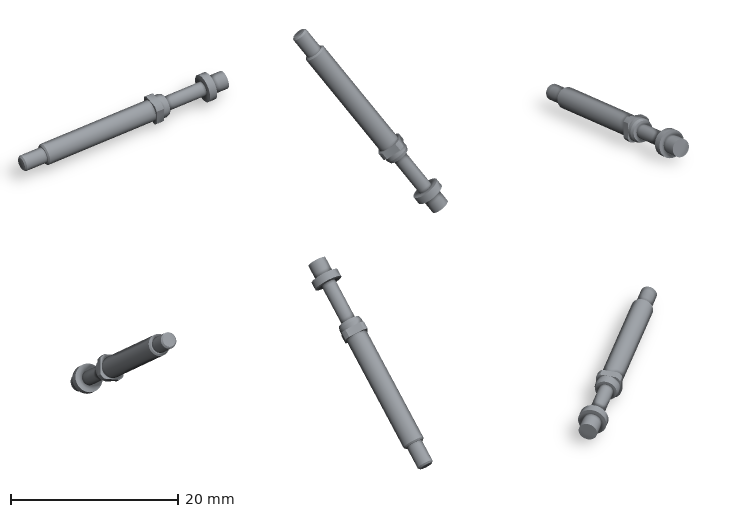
import cadquery as cq

total_length = 28.3
tip_length = 3.0
barrel_length = 15.0
wrench_length = 1.0
ring_length = 0.57
cone_length = 0.42
flange_length = 1.0
head_length = 2.0

barrel_start = tip_length
wrench_start = barrel_start + barrel_length
ring_start = wrench_start + wrench_length
cone_start = ring_start + ring_length
cone_end = cone_start + cone_length
head_start = total_length - head_length
flange_start = head_start - flange_length

tip_diameter = 2.0
barrel_diameter = 2.7
collar_diameter = 3.0
cone_end_diameter = 2.7
plunger_diameter = 1.8
flange_diameter = 3.5
head_diameter = 2.3

across_flats = collar_diameter
across_corners = 3.6

edge_chamfer = 0.2


def shaft(diameter, start, end):
    """Round length of the part, lying on the Y axis."""
    return cq.Workplane("XZ", origin=(0, start, 0)).circle(diameter / 2).extrude(start - end)


def chamfered_shaft(diameter, start, end):
    """Round length with its front edge chamfered."""
    return shaft(diameter, start, end).faces("<Y").chamfer(edge_chamfer)


def wrench_section():
    """Four flats, with the corners cut back to a cylinder."""
    square = (
        cq.Workplane("XZ", origin=(0, wrench_start, 0))
        .rect(across_flats, across_flats)
        .extrude(-wrench_length)
    )
    return square.intersect(shaft(across_corners, wrench_start, ring_start))


def collar_cone():
    """Taper from the collar ring down to the collar's rear face."""
    return (
        cq.Workplane("XZ", origin=(0, cone_start, 0))
        .circle(collar_diameter / 2)
        .workplane(offset=-cone_length)
        .circle(cone_end_diameter / 2)
        .loft()
    )


tip = chamfered_shaft(tip_diameter, 0, barrel_start)
barrel = chamfered_shaft(barrel_diameter, barrel_start, wrench_start)
collar = wrench_section().union(shaft(collar_diameter, ring_start, cone_start)).union(collar_cone())
plunger = shaft(plunger_diameter, cone_end, flange_start)
flange = shaft(flange_diameter, flange_start, head_start)
head = shaft(head_diameter, head_start, total_length)

result = tip.union(barrel).union(collar).union(plunger).union(flange).union(head)